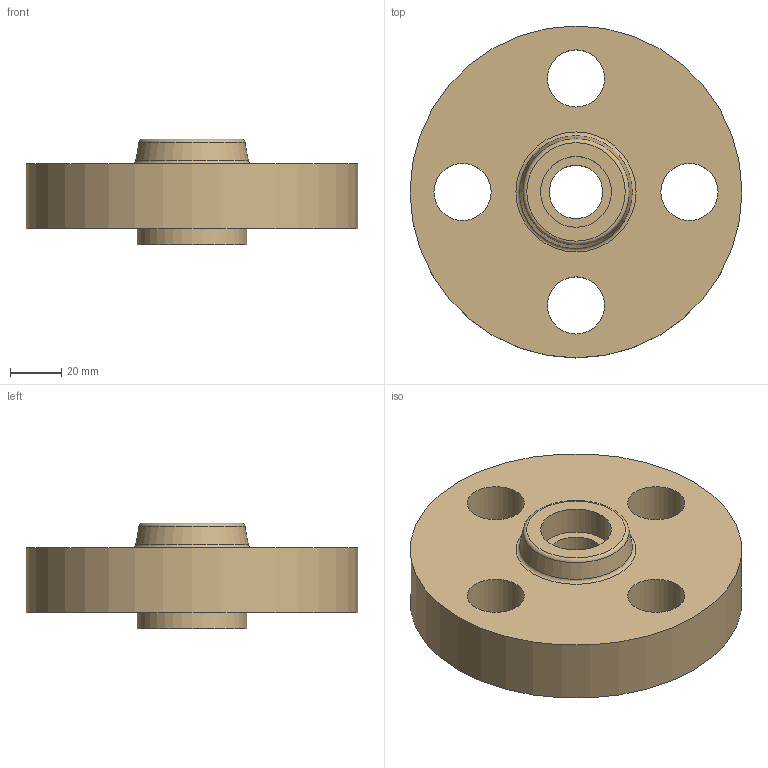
import cadquery as cq
import math

flange_diameter = 130.0
flange_thickness = 25.4

face_diameter = 42.9
face_height = 6.4

hub_height = 9.6
hub_base_diameter = 44.5
hub_taper_deg = 10.0
hub_foot_fillet = 1.5
hub_top_fillet = 1.5

bore_diameter = 20.9
socket_diameter = 27.7
socket_depth = 11.0

bolt_count = 4
bolt_hole_diameter = 22.4
bolt_circle_diameter = 88.9

disc_bottom = face_height
disc_top = disc_bottom + flange_thickness
hub_top = disc_top + hub_height

pick_margin = 0.5


def make_body():
    """Turned outline of raised face, disc and hub, revolved about Z."""
    face_radius = face_diameter / 2
    flange_radius = flange_diameter / 2
    hub_base_radius = hub_base_diameter / 2
    hub_top_radius = hub_base_radius - hub_height * math.tan(math.radians(hub_taper_deg))
    outline = [
        (0, 0),
        (face_radius, 0),
        (face_radius, disc_bottom),
        (flange_radius, disc_bottom),
        (flange_radius, disc_top),
        (hub_base_radius, disc_top),
        (hub_top_radius, hub_top),
        (0, hub_top),
    ]
    return cq.Workplane("XZ").polyline(outline).close().revolve(360, (0, 0, 0), (0, 1, 0))


def round_hub(body):
    """Round the rim of the hub and blend its foot into the disc."""
    body = body.faces(">Z").edges().fillet(hub_top_fillet)
    foot_reach = hub_base_diameter / 2 + pick_margin
    foot_box = cq.selectors.BoxSelector(
        (-foot_reach, -foot_reach, disc_top - pick_margin),
        (foot_reach, foot_reach, disc_top + pick_margin),
        boundingbox=True,
    )
    return body.edges(foot_box).fillet(hub_foot_fillet)


def cut_bore(body):
    """Cut the through bore and the wider socket at the hub end."""
    bore = cq.Workplane("XY").circle(bore_diameter / 2).extrude(hub_top)
    socket = (
        cq.Workplane("XY")
        .workplane(offset=hub_top - socket_depth)
        .circle(socket_diameter / 2)
        .extrude(socket_depth)
    )
    return body.cut(bore).cut(socket)


def cut_bolt_holes(body):
    """Cut the ring of through holes, the first one on the X axis."""
    holes = (
        cq.Workplane("XY")
        .workplane(offset=disc_bottom)
        .polarArray(bolt_circle_diameter / 2, 0, 360, bolt_count)
        .circle(bolt_hole_diameter / 2)
        .extrude(flange_thickness)
    )
    return body.cut(holes)


result = cut_bolt_holes(cut_bore(round_hub(make_body())))